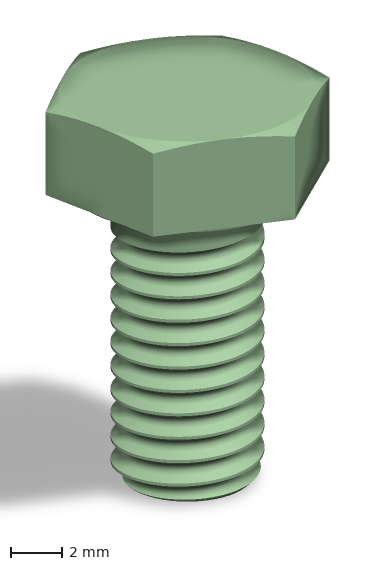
import cadquery as cq
import math

total_length = 16.5
hex_sides = 6
across_flats = 10.0
across_corners = across_flats / math.cos(math.pi / hex_sides)

hex_height = 3.8
top_chamfer_drop = 0.25
bearing_diameter = 9.5
bearing_thickness = 0.2
bearing_taper = 15
hex_base = total_length - hex_height
shank_length = hex_base - bearing_thickness

shank_radius = 6.0 / 2
neck_fillet = 0.21
tip_chamfer = 0.46

full_turns = 11
full_turns_length = 11.0
pitch = full_turns_length / full_turns
runout_turns = 0.5
flank_angle = math.radians(30)
sharp_height = pitch / 2 / math.tan(flank_angle)
thread_depth = sharp_height * 17 / 24
root_arc_radius = sharp_height / 6
groove_end = 10.56
groove_overshoot = 0.1


def make_head():
    hexagon = cq.Workplane("XY").workplane(offset=hex_base).polygon(hex_sides, across_corners).extrude(hex_height)
    corner_radius = across_corners / 2
    chamfer_envelope = (
        cq.Workplane("XZ")
        .moveTo(0, hex_base)
        .lineTo(corner_radius, hex_base)
        .lineTo(corner_radius, total_length - top_chamfer_drop)
        .lineTo(across_flats / 2, total_length)
        .lineTo(0, total_length)
        .close()
        .revolve(360, (0, 0, 0), (0, 1, 0))
    )
    bearing_face = (
        cq.Workplane("XY")
        .workplane(offset=shank_length)
        .circle(bearing_diameter / 2)
        .extrude(bearing_thickness, taper=-bearing_taper)
    )
    return hexagon.intersect(chamfer_envelope).union(bearing_face)


def make_shank():
    fillet_middle = neck_fillet * (1 - math.sqrt(0.5))
    return (
        cq.Workplane("XZ")
        .lineTo(shank_radius - tip_chamfer, 0)
        .lineTo(shank_radius, tip_chamfer)
        .lineTo(shank_radius, shank_length - neck_fillet)
        .threePointArc(
            (shank_radius + fillet_middle, shank_length - fillet_middle),
            (shank_radius + neck_fillet, shank_length),
        )
        .lineTo(0, shank_length)
        .close()
        .revolve(360, (0, 0, 0), (0, 1, 0))
    )


def make_helix(start_height, turns, radial_rise):
    """Helix from the +X side; it widens by radial_rise over its length."""
    rise = turns * pitch
    if radial_rise == 0:
        helix = cq.Wire.makeHelix(pitch, rise, shank_radius)
    else:
        slant_ratio = math.hypot(rise, radial_rise) / rise
        cone_angle = math.degrees(math.atan2(radial_rise, rise))
        helix = cq.Wire.makeHelix(pitch * slant_ratio, rise * slant_ratio, shank_radius, angle=cone_angle)
    return helix.moved(cq.Location(cq.Vector(0, 0, start_height)))


def make_groove(centre_height, turns, radial_rise=0.0):
    """Groove cutter: a V profile with a round root, swept upright along a helix."""
    root_radius = shank_radius - thread_depth
    arc_end_radius = root_radius + root_arc_radius * (1 - math.sin(flank_angle))
    half_root = root_arc_radius * math.cos(flank_angle)
    mouth_radius = shank_radius + groove_overshoot
    half_mouth = half_root + (mouth_radius - arc_end_radius) * math.tan(flank_angle)
    profile = (
        cq.Workplane("XZ", origin=(0, 0, centre_height))
        .moveTo(mouth_radius, -half_mouth)
        .lineTo(arc_end_radius, -half_root)
        .threePointArc((root_radius, 0), (arc_end_radius, half_root))
        .lineTo(mouth_radius, half_mouth)
        .close()
    )
    path = make_helix(centre_height, turns, radial_rise)
    return profile.sweep(cq.Workplane(path), isFrenet=True)


main_groove = make_groove(groove_end - full_turns_length, full_turns)
runout_groove = make_groove(groove_end, runout_turns, thread_depth)

threaded_shank = make_shank().cut(main_groove).cut(runout_groove)
result = make_head().union(threaded_shank)